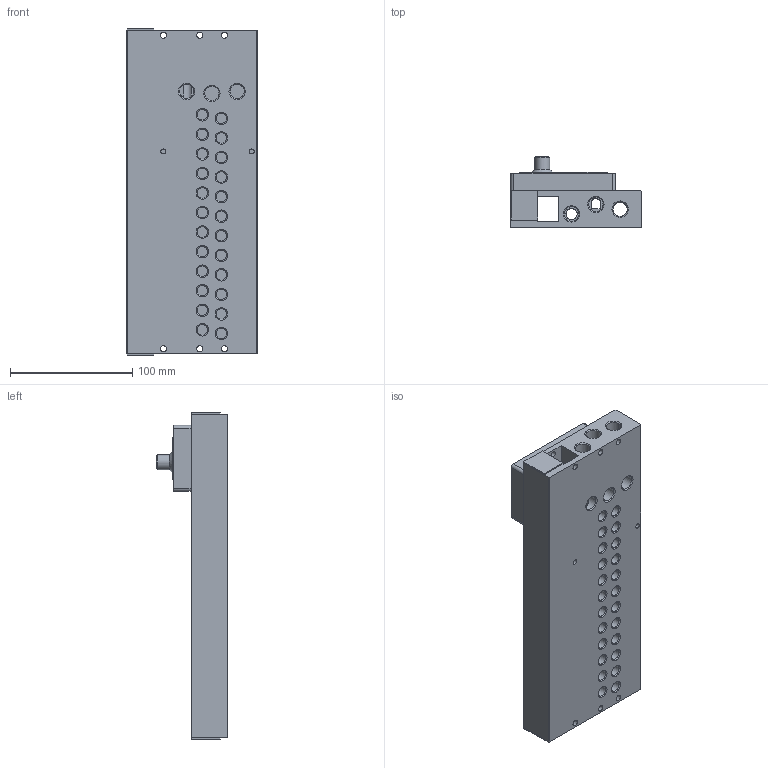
import cadquery as cq

block_width = 106.7
block_depth = 30.0
block_height = 265.0
front_edge_chamfer = 0.5
back_edge_chamfer = 0.7
overall_depth = 58.4
overall_height = 267.0

bar_inset = 0.2
bar_right = 22.0
bar_front = 6.0
bar_overhang = (overall_height - block_height) / 2

channel_width = 17.3
channel_front = 5.1
channel_depth = 20.3

port_diameter = 11.8
port_mouth_diameter = 13.4
port_chamfer = (port_mouth_diameter - port_diameter) / 2
end_port_depth = 14.0
left_bore = (49.7, 11.0)
middle_bore = (69.6, 18.8)
right_bore = (89.5, 14.9)
left_bore_diameter = 9.2
middle_passage_width = 7.5
middle_passage_diameter = 10.0
middle_passage_front = 15.2

front_ports = [
    (49.0, 50.2, 14.5),
    (69.6, 51.8, 14.5),
    (90.3, 50.2, 22.0),
]

outlet_count = 12
outlet_pitch = 16.0
outlet_columns = [(61.8, 69.3), (77.3, 72.3)]
outlet_diameter = 8.6
outlet_mouth_diameter = 10.2
outlet_chamfer = (outlet_mouth_diameter - outlet_diameter) / 2
outlet_depth = 12.0

mounting_hole_diameter = 5.0
mounting_hole_columns = [30.0, 59.7, 79.9]
mounting_hole_inset = 4.2

pin_hole_diameter = 4.0
pin_hole_depth = 4.0
pin_hole_columns = [29.8, 102.3]
pin_hole_drop = 99.3

housing_width = 85.8
housing_height = 54.0
housing_drop = 9.3
housing_depth = 14.2
housing_corner_radius = 2.5
housing_back = block_depth + housing_depth
housing_middle_z = block_height - housing_drop - housing_height / 2

cover_width = 72.0
cover_height = 34.4
cover_thickness = 0.8
cover_back = housing_back + cover_thickness

connector_x = 25.8
connector_z = block_height - 39.3
connector_diameter = 12.3
connector_end_chamfer = 0.8
collar_diameter = 17.8
collar_length = (collar_diameter - connector_diameter) / 2
connector_length = overall_depth - cover_back


def box(x, y, z, width, depth, height):
    """Box with its lowest corner at (x, y, z)."""
    return cq.Workplane("XY").box(width, depth, height, centered=False).translate((x, y, z))


def cylinder_to_back(x, y, z, diameter, length):
    """Cylinder starting at (x, y, z) and running towards +Y."""
    return cq.Workplane(cq.Solid.makeCylinder(diameter / 2, length, cq.Vector(x, y, z), cq.Vector(0, 1, 0)))


def front_hole(x, z, diameter, depth, chamfer=0.0):
    """Cutter for a hole in the front face, with an optional 45 degree mouth chamfer."""
    cutter = cylinder_to_back(x, 0, z, diameter, depth)
    if chamfer > 0:
        mouth = cq.Solid.makeCone(
            diameter / 2 + chamfer, diameter / 2, chamfer, cq.Vector(x, 0, z), cq.Vector(0, 1, 0)
        )
        cutter = cutter.union(cq.Workplane(mouth))
    return cutter


def end_port(position):
    """Cutter for a chamfered port in the top end of the block."""
    x, y = position
    top = cq.Vector(x, y, block_height)
    down = cq.Vector(0, 0, -1)
    bore = cq.Solid.makeCylinder(port_diameter / 2, end_port_depth, top, down)
    mouth = cq.Solid.makeCone(port_mouth_diameter / 2, port_diameter / 2, port_chamfer, top, down)
    return cq.Workplane(bore).union(cq.Workplane(mouth))


def round_passage(position, diameter):
    """Cutter for a round bore running the whole height of the block."""
    x, y = position
    return cq.Workplane("XY").center(x, y).circle(diameter / 2).extrude(block_height)


def middle_passage():
    """Cutter for the middle bore: round at the back, flat on both sides and in front."""
    left = middle_bore[0] - middle_passage_width / 2
    depth = block_depth - middle_passage_front
    flats = box(left, middle_passage_front, 0, middle_passage_width, depth, block_height)
    return round_passage(middle_bore, middle_passage_diameter).intersect(flats)


def make_block():
    block = box(0, 0, 0, block_width, block_depth, block_height)
    block = block.edges("|Z and <Y").chamfer(front_edge_chamfer)
    return block.edges("|Z and >Y").chamfer(back_edge_chamfer)


def make_bar():
    width = bar_right - bar_inset
    bar = box(bar_inset, bar_front, -bar_overhang, width, block_depth - bar_front, overall_height)
    return bar.edges("|Z and <X and >Y").chamfer(back_edge_chamfer - bar_inset)


def cut_end_bores(body):
    for position in (left_bore, middle_bore, right_bore):
        body = body.cut(end_port(position))
    body = body.cut(round_passage(left_bore, left_bore_diameter))
    body = body.cut(round_passage(right_bore, port_diameter))
    return body.cut(middle_passage())


def cut_front_holes(body):
    for x, drop, depth in front_ports:
        body = body.cut(front_hole(x, block_height - drop, port_diameter, depth, port_chamfer))
    for x, first_drop in outlet_columns:
        for index in range(outlet_count):
            z = block_height - first_drop - index * outlet_pitch
            body = body.cut(front_hole(x, z, outlet_diameter, outlet_depth, outlet_chamfer))
    for x in mounting_hole_columns:
        for z in (mounting_hole_inset, block_height - mounting_hole_inset):
            body = body.cut(front_hole(x, z, mounting_hole_diameter, block_depth))
    for x in pin_hole_columns:
        body = body.cut(front_hole(x, block_height - pin_hole_drop, pin_hole_diameter, pin_hole_depth))
    return body


def make_housing():
    bottom = housing_middle_z - housing_height / 2
    housing = box(0, block_depth, bottom, housing_width, housing_depth, housing_height)
    return housing.edges("|Y").fillet(housing_corner_radius)


def make_cover():
    left = (housing_width - cover_width) / 2
    bottom = housing_middle_z - cover_height / 2
    return box(left, housing_back, bottom, cover_width, cover_thickness, cover_height)


def make_connector():
    base = cq.Vector(connector_x, cover_back, connector_z)
    collar = cq.Solid.makeCone(
        collar_diameter / 2, connector_diameter / 2, collar_length, base, cq.Vector(0, 1, 0)
    )
    barrel = cylinder_to_back(connector_x, cover_back, connector_z, connector_diameter, connector_length)
    barrel = barrel.faces(">Y").chamfer(connector_end_chamfer)
    return barrel.union(cq.Workplane(collar))


body = make_block().union(make_bar())
body = body.cut(box(bar_right, channel_front, 0, channel_width, channel_depth, block_height))
body = cut_end_bores(body)
body = cut_front_holes(body)
result = body.union(make_housing()).union(make_cover()).union(make_connector())